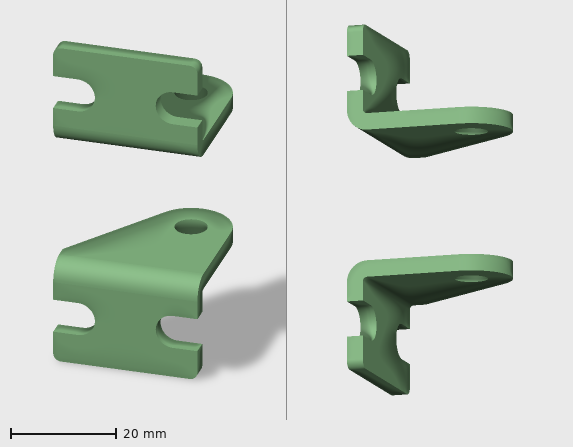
import cadquery as cq
import math

WIDTH = 28.6
DEPTH = 30.2
TOTAL_HEIGHT = 66.6
BRACKET_HEIGHT = 20.65

THICKNESS = 3.2
INNER_BEND_RADIUS = 0.8
OUTER_BEND_RADIUS = INNER_BEND_RADIUS + THICKNESS

EAR_RADIUS = 7.9
HOLE_DIAMETER = 6.3
SHORT_SIDE = 6.3
EAR_X = WIDTH / 2 - EAR_RADIUS
EAR_Y = DEPTH - EAR_RADIUS

SLOT_WIDTH = 6.8
SLOT_DEPTH = 8.25
SLOT_HEIGHT = 9.5
CORNER_RADIUS = 1.5


def bent_sheet():
    """L-shaped sheet: vertical flange at Y = 0, horizontal flange on top."""
    sheet = (
        cq.Workplane("YZ")
        .moveTo(0, 0)
        .lineTo(THICKNESS, 0)
        .lineTo(THICKNESS, BRACKET_HEIGHT - THICKNESS)
        .lineTo(DEPTH, BRACKET_HEIGHT - THICKNESS)
        .lineTo(DEPTH, BRACKET_HEIGHT)
        .lineTo(0, BRACKET_HEIGHT)
        .close()
        .extrude(WIDTH / 2, both=True)
    )
    inner_edge = cq.selectors.NearestToPointSelector((0, THICKNESS, BRACKET_HEIGHT - THICKNESS))
    outer_edge = cq.selectors.NearestToPointSelector((0, 0, BRACKET_HEIGHT))
    sheet = sheet.edges(inner_edge).fillet(INNER_BEND_RADIUS)
    return sheet.edges(outer_edge).fillet(OUTER_BEND_RADIUS)


def ear_outline():
    """Plan outline: a round ear with a sloped side tangent to it."""
    left, right = -WIDTH / 2, WIDTH / 2
    run, rise = EAR_X - left, EAR_Y - SHORT_SIDE
    slope_angle = math.atan2(rise, run) + math.asin(EAR_RADIUS / math.hypot(run, rise))
    normal_angle = slope_angle + math.pi / 2
    middle_angle = normal_angle / 2

    def on_ear(angle):
        return (EAR_X + EAR_RADIUS * math.cos(angle), EAR_Y + EAR_RADIUS * math.sin(angle))

    return (
        cq.Workplane("XY")
        .moveTo(left, 0)
        .lineTo(right, 0)
        .lineTo(right, EAR_Y)
        .threePointArc(on_ear(middle_angle), on_ear(normal_angle))
        .lineTo(left, SHORT_SIDE)
        .close()
        .extrude(BRACKET_HEIGHT)
    )


def pivot_hole():
    return cq.Workplane("XY").center(EAR_X, EAR_Y).circle(HOLE_DIAMETER / 2).extrude(BRACKET_HEIGHT)


def side_slots():
    """Round-ended slots open to both sides of the vertical flange."""
    slot_centers = [(-WIDTH / 2, SLOT_HEIGHT), (WIDTH / 2, SLOT_HEIGHT)]
    return (
        cq.Workplane("XZ")
        .pushPoints(slot_centers)
        .slot2D(2 * SLOT_DEPTH, SLOT_WIDTH)
        .extrude(-THICKNESS)
    )


def make_lower_bracket():
    bracket = bent_sheet().intersect(ear_outline())
    bracket = bracket.faces("<Z").edges("|Y").fillet(CORNER_RADIUS)
    return bracket.cut(side_slots()).cut(pivot_hole())


def make_brackets():
    """The lower bracket and its mirror image above it."""
    lower = make_lower_bracket()
    upper = lower.mirror("XY", (0, 0, TOTAL_HEIGHT / 2))
    return [lower, upper]


result = cq.Compound.makeCompound([bracket.val() for bracket in make_brackets()])